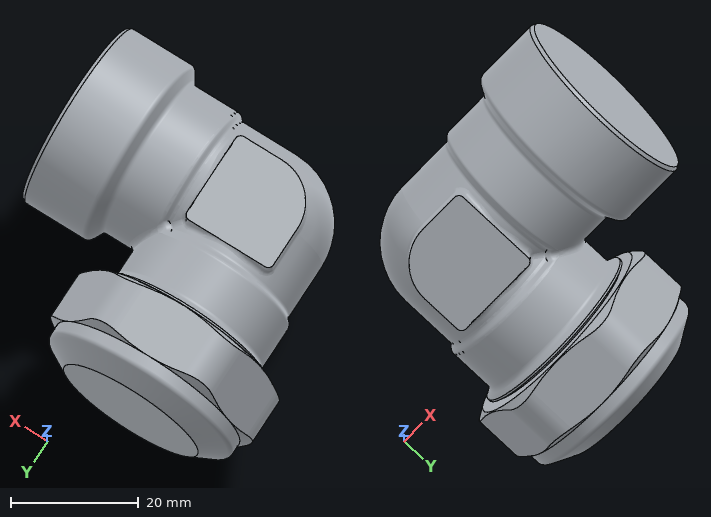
import cadquery as cq
import math


body_radius = 12.6
neck_radius = 13.5
neck_step_start = 10.05
neck_step_end = neck_step_start + neck_radius - body_radius
cast_round = 1.0

socket_radius = 16.0
socket_end = 32.95
socket_back = 21.05
shoulder_angle = math.radians(60)
socket_end_chamfer_length = 0.6
socket_end_chamfer_depth = 0.35

collar_radius = 15.0
collar_start = 20.2
collar_end = 20.6
collar_root_radius = 14.15
nut_start = 21.0
nut_end = 36.0
hex_across_flats = 34.0
hex_corner_round = 5.95
hex_sides = 6
hex_end = 31.05
hex_chamfer_angle = math.radians(30)
nut_face_radius = 16.85
nut_top_radius = 12.5
nut_top_angle = math.radians(30)
cap_overlap = 0.5

tolerance = 0.0005
margin = 0.05

pad_half_width = 8.0
pad_top = 12.8


def turned(corners):
    """Solid turned about X from (axial place, radius, corner round) corners, closed along the axis."""
    path = cq.Workplane("XY").moveTo(corners[0][0], 0)
    for i, (place, radius, corner_round) in enumerate(corners):
        corner = cq.Vector(place, radius)
        if corner_round == 0:
            path = path.lineTo(place, radius)
            continue
        to_previous = (cq.Vector(*corners[i - 1][:2]) - corner).normalized()
        to_next = (cq.Vector(*corners[i + 1][:2]) - corner).normalized()
        half_angle = to_previous.getAngle(to_next) / 2
        tangent_length = corner_round / math.tan(half_angle)
        bisector = (to_previous + to_next).normalized()
        arc_start = corner + to_previous * tangent_length
        arc_middle = corner + bisector * (corner_round / math.sin(half_angle) - corner_round)
        arc_end = corner + to_next * tangent_length
        path = path.lineTo(arc_start.x, arc_start.y)
        path = path.threePointArc((arc_middle.x, arc_middle.y), (arc_end.x, arc_end.y))
    return path.lineTo(corners[-1][0], 0).close().revolve(360, (0, 0, 0), (1, 0, 0))


def along_y(shape):
    """Turn a shape built along +X so that it runs along +Y."""
    return shape.rotate((0, 0, 0), (0, 0, 1), 90)


neck_corners = [
    (0, body_radius, 0),
    (neck_step_start, body_radius, cast_round),
    (neck_step_end, neck_radius, cast_round),
]


def socket_branch():
    """Body, neck and socket along +X."""
    shoulder_length = (socket_radius - neck_radius) / math.tan(shoulder_angle)
    return turned(neck_corners + [
        (socket_back - shoulder_length, neck_radius, cast_round),
        (socket_back, socket_radius, cast_round),
        (socket_end - socket_end_chamfer_length, socket_radius, 0),
        (socket_end, socket_radius - socket_end_chamfer_depth, 0),
    ])


def collar_branch():
    """Body, neck and thread collar along +Y, reaching the nut."""
    cone_length = (collar_radius - neck_radius) / math.tan(shoulder_angle)
    return along_y(turned(neck_corners + [
        (collar_start - cone_length, neck_radius, cast_round),
        (collar_start, collar_radius, 0),
        (collar_end, collar_radius, 0),
        (nut_start, collar_root_radius, 0),
        (hex_end, collar_root_radius, 0),
    ]))


def nut():
    """Hexagon with rounded corners and chamfered ends, and a coned round cap."""
    flat_radius = hex_across_flats / 2
    corner_diameter = hex_across_flats / math.cos(math.pi / hex_sides)
    hexagon = (
        cq.Workplane("YZ").workplane(offset=nut_start).polygon(hex_sides, corner_diameter)
        .extrude(hex_end - nut_start)
        .edges("|X").fillet(hex_corner_round)
    )
    chamfer_length = (corner_diameter / 2 - nut_face_radius) * math.tan(hex_chamfer_angle)
    hexagon = hexagon.intersect(turned([
        (nut_start, nut_face_radius, 0),
        (nut_start + chamfer_length, corner_diameter / 2, 0),
        (hex_end - chamfer_length, corner_diameter / 2, 0),
        (hex_end, nut_face_radius, 0),
    ]))
    cone_length = (flat_radius - nut_top_radius) * math.tan(nut_top_angle)
    cap = turned([
        (hex_end - cap_overlap, flat_radius, 0),
        (nut_end - cone_length, flat_radius, cast_round),
        (nut_end, nut_top_radius, 0),
    ])
    return along_y(hexagon.union(cap))


def pads():
    """Square column, round on the outer side of the elbow, whose two ends are the flat pads."""
    half = pad_half_width
    arc_middle = -half * math.sqrt(0.5)
    return (
        cq.Workplane("XY").workplane(offset=-pad_top)
        .moveTo(-half, 0).lineTo(-half, half).lineTo(half, half).lineTo(half, -half).lineTo(0, -half)
        .threePointArc((arc_middle, arc_middle), (-half, 0)).close()
        .extrude(2 * pad_top)
        .edges("|Z").edges(">X or >Y").fillet(cast_round)
    )


def lies_on_miter(edge):
    """True for an edge in the plane x = y, where the two branches meet at the inner crotch."""
    points = [edge.positionAt(share) for share in (0, 0.3, 0.5, 1)]
    return edge.Center().x > margin and all(abs(point.x - point.y) < tolerance for point in points)


def elbow_body():
    """Both branches joined by a ball at the outer corner, with the inner crotch rounded."""
    body = socket_branch().union(collar_branch()).union(cq.Workplane("XY").sphere(body_radius))
    crotch_edges = [edge for edge in body.edges().vals() if lies_on_miter(edge)]
    return cq.Workplane(body.val().fillet(cast_round, crotch_edges))


def round_pad_bases(shape):
    """Round the edges where the pad walls run into the elbow body."""
    side = pad_half_width + margin
    height = pad_top - margin
    pad_wall_edges = cq.selectors.BoxSelector((-side, -side, 0), (side, side, height), True)
    opposite_wall_edges = cq.selectors.BoxSelector((-side, -side, -height), (side, side, 0), True)
    return shape.edges(pad_wall_edges + opposite_wall_edges).edges("not |Z").fillet(cast_round)


result = round_pad_bases(elbow_body().union(nut()).union(pads()))